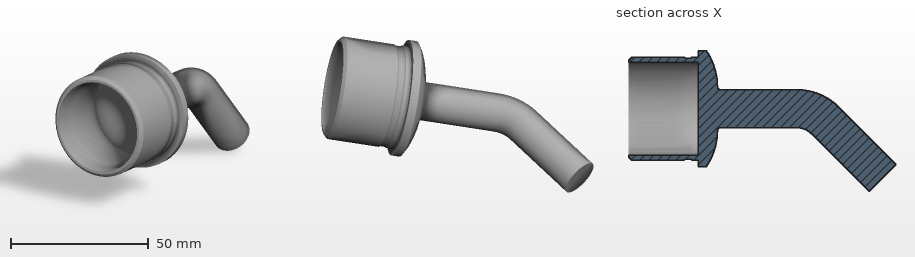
import cadquery as cq
import math

overall_length = 96.95

flange_diameter = 42.4
insert_radius = 18.8
bore_radius = 16.8
flange_front = 25.1
flange_width = 3.0
end_chamfer = 1.2

groove_start = 20.0
groove_width = 3.0
groove_depth = 0.34

dome_height = 4.2
fillet_radius = 0.9

rod_radius = 7.0
rod_bend_start = 60.9
bend_radius = 14.5
bend_angle = 45

flange_radius = flange_diameter / 2
flange_back = flange_front + flange_width
dome_top = flange_back + dome_height
dome_flat_radius = rod_radius + fillet_radius
groove_end = groove_start + groove_width


def dome_midpoint():
    """Point halfway along the dome arc, which starts square to the axis at the fillet."""
    dome_span = flange_radius - dome_flat_radius
    arc_radius = (dome_span**2 + dome_height**2) / (2 * dome_height)
    half_sweep = math.asin(dome_span / arc_radius) / 2
    radius = dome_flat_radius + arc_radius * math.sin(half_sweep)
    height = dome_top - arc_radius * (1 - math.cos(half_sweep))
    return radius, height


def make_plug():
    """Turn the insert, flange, dome and fillet; the profile is (radius, Y)."""
    fillet_offset = fillet_radius * (1 - math.cos(math.radians(45)))
    fillet_mid = (rod_radius + fillet_offset, dome_top + fillet_offset)
    groove_radius = insert_radius - groove_depth
    profile = (
        cq.Workplane("XY")
        .moveTo(0, flange_front)
        .lineTo(bore_radius, flange_front)
        .lineTo(bore_radius, 0)
        .lineTo(insert_radius - end_chamfer, 0)
        .lineTo(insert_radius, end_chamfer)
        .lineTo(insert_radius, groove_start)
        .lineTo(groove_radius, groove_start + groove_depth)
        .lineTo(groove_radius, groove_end - groove_depth)
        .lineTo(insert_radius, groove_end)
        .lineTo(insert_radius, flange_front)
        .lineTo(flange_radius, flange_front)
        .lineTo(flange_radius, flange_back)
        .threePointArc(dome_midpoint(), (dome_flat_radius, dome_top))
        .threePointArc(fillet_mid, (rod_radius, dome_top + fillet_radius))
        .lineTo(0, dome_top + fillet_radius)
        .close()
    )
    return profile.revolve(360, (0, 0, 0), (0, 1, 0))


def make_rod():
    """Sweep the round rod along +Y, then around the bend and down to its tip."""
    bend = math.radians(bend_angle)

    def bend_point(angle):
        return (
            rod_bend_start + bend_radius * math.sin(angle),
            -bend_radius * (1 - math.cos(angle)),
        )

    bend_end = bend_point(bend)
    tip_y = overall_length - rod_radius * math.sin(bend)
    tip_z = bend_end[1] - (tip_y - bend_end[0]) * math.tan(bend)
    path = (
        cq.Workplane("YZ")
        .moveTo(flange_back, 0)
        .lineTo(rod_bend_start, 0)
        .threePointArc(bend_point(bend / 2), bend_end)
        .lineTo(tip_y, tip_z)
    )
    section = cq.Workplane("XZ", origin=(0, flange_back, 0)).circle(rod_radius)
    return section.sweep(path)


result = make_plug().union(make_rod())